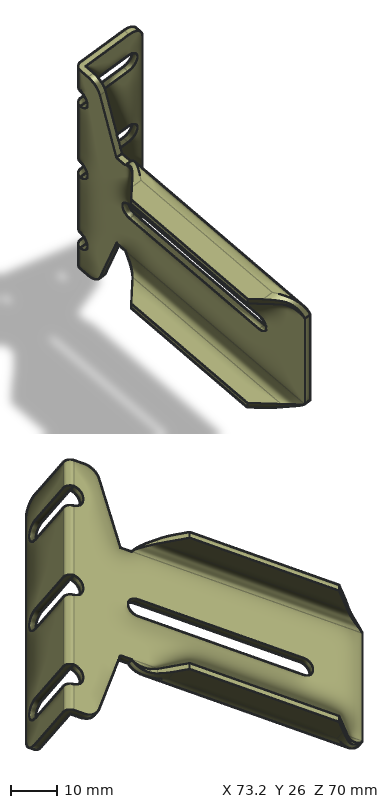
import cadquery as cq
import math

thickness = 1.65
plate_length = 73.2
overall_depth = 26.0
wing_depth = 7.6
leg_depth = overall_depth - wing_depth
head_height = 70.0
edge_bend_radius = thickness
corner_radius = 4.0

head_width = 7.1
tongue_start = 13.2
tongue_half = 15.1
long_slot_center = 38.0
long_slot_length = 45.8
long_slot_width = 4.7

edge_slot_width = 5.5
edge_slot_pitch = 25.0
edge_slot_count = 3
edge_slot_reach = 4.0
edge_slot_margin = 1.5

wing_bend_outer = 4.1
wing_bend_inner = wing_bend_outer - thickness
wing_center = 44.6
wing_base_half = plate_length - wing_center
wing_tip_half = 18.5
wing_crown_half = 20.9
wing_outer_z = tongue_half + wing_bend_outer
wing_inner_z = tongue_half + wing_bend_inner
bend_end_y = thickness - wing_bend_outer


def main_plate():
    """Flat plate in the XZ plane, from Y = 0 to Y = thickness."""
    half = head_height / 2
    outline = [
        (0, -half),
        (head_width, -half),
        (tongue_start, -tongue_half),
        (plate_length, -tongue_half),
        (plate_length, tongue_half),
        (tongue_start, tongue_half),
        (head_width, half),
        (0, half),
    ]
    plate = cq.Workplane("XZ").polyline(outline).close().extrude(-thickness)
    head_corners = cq.selectors.BoxSelector(
        (head_width / 2, -thickness, -head_height),
        (tongue_start - thickness, 2 * thickness, head_height),
    )
    return plate.edges("|Y").edges(head_corners).fillet(corner_radius)


def mounting_leg():
    """Upright leg at X = 0 that runs toward +Y."""
    leg = cq.Workplane("XY").box(thickness, leg_depth, head_height, centered=(False, False, True))
    return leg.faces(">Y").edges("|X").fillet(corner_radius)


def edge_slot(z):
    """Tool for one slot that runs through the leg and around the bend into the plate."""
    leg_reach = leg_depth - edge_slot_margin
    leg_cut = cq.Workplane("YZ").center(0, z).slot2D(2 * leg_reach, edge_slot_width).extrude(thickness)
    plate_cut = (
        cq.Workplane("XZ")
        .center(0, z)
        .slot2D(2 * edge_slot_reach, edge_slot_width)
        .extrude(-thickness)
    )
    return leg_cut.union(plate_cut)


def long_slot():
    """Tool for the adjusting slot along the tongue."""
    return (
        cq.Workplane("XZ")
        .center(long_slot_center, 0)
        .slot2D(long_slot_length, long_slot_width)
        .extrude(-thickness)
    )


def wing_sheet():
    """Upper wing over its full base length: quarter bend, then a flat strip."""
    diagonal = math.sqrt(0.5)
    return (
        cq.Workplane("YZ", origin=(wing_center - wing_base_half, 0, 0))
        .moveTo(thickness, tongue_half)
        .threePointArc(
            (bend_end_y + wing_bend_outer * diagonal, tongue_half + wing_bend_outer * diagonal),
            (bend_end_y, wing_outer_z),
        )
        .lineTo(-wing_depth, wing_outer_z)
        .lineTo(-wing_depth, wing_inner_z)
        .lineTo(bend_end_y, wing_inner_z)
        .threePointArc(
            (bend_end_y + wing_bend_inner * diagonal, tongue_half + wing_bend_inner * diagonal),
            (0, tongue_half),
        )
        .close()
        .extrude(2 * wing_base_half)
    )


def wing_front_outline():
    """Prism along Y that rounds both ends of the wing down to the tongue edge."""
    run = wing_base_half - wing_crown_half
    radius = (run ** 2 + wing_bend_outer ** 2) / (2 * wing_bend_outer)
    mid_x = wing_crown_half + run / 2
    mid_z = wing_outer_z - radius + math.sqrt(radius ** 2 - (run / 2) ** 2)
    return (
        cq.Workplane("XZ", origin=(wing_center, thickness, 0))
        .moveTo(-wing_base_half, tongue_half)
        .threePointArc((-mid_x, mid_z), (-wing_crown_half, wing_outer_z))
        .lineTo(wing_crown_half, wing_outer_z)
        .threePointArc((mid_x, mid_z), (wing_base_half, tongue_half))
        .close()
        .extrude(thickness + wing_depth)
    )


def wing_top_outline():
    """Prism along Z that cuts both wing ends at 45 degrees and sweeps them into the tongue edge."""
    slope_end = wing_tip_half + wing_depth + bend_end_y
    half_outline = (
        cq.Workplane("XY", origin=(wing_center, 0, tongue_half))
        .moveTo(0, -wing_depth)
        .lineTo(wing_tip_half, -wing_depth)
        .lineTo(slope_end, bend_end_y)
        .tangentArcPoint((wing_base_half, 0), relative=False)
        .lineTo(wing_base_half, thickness)
        .lineTo(0, thickness)
        .close()
        .extrude(wing_bend_outer)
    )
    return half_outline.union(half_outline.mirror("YZ", (wing_center, 0, 0)))


def upper_wing():
    """Bent wing sheet trimmed by both end outlines."""
    return wing_sheet().intersect(wing_front_outline()).intersect(wing_top_outline())


bracket = main_plate().union(mounting_leg())
outer_bend_edge = cq.selectors.NearestToPointSelector((0, 0, 0))
bracket = bracket.edges("|Z").edges(outer_bend_edge).fillet(edge_bend_radius)

for index in range(edge_slot_count):
    slot_z = (index - (edge_slot_count - 1) / 2) * edge_slot_pitch
    bracket = bracket.cut(edge_slot(slot_z))

bracket = bracket.cut(long_slot())

wing = upper_wing()
result = bracket.union(wing).union(wing.mirror("XY"))